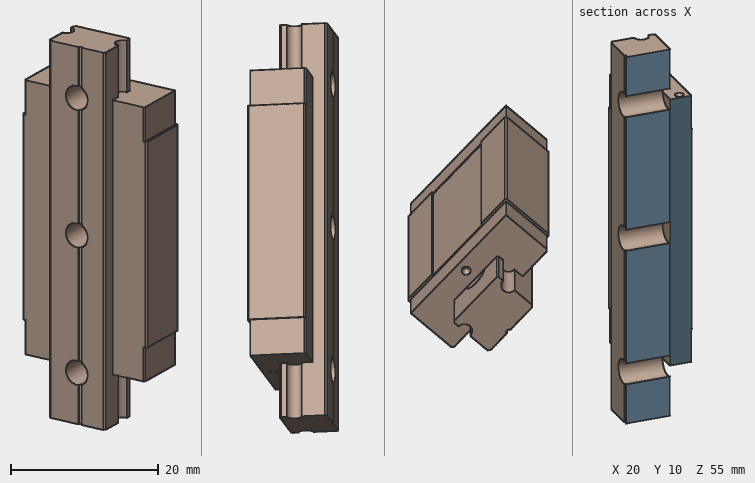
import cadquery as cq


guide_height = 10.0

rail_length = 55.0
rail_width = 9.0
rail_height = 6.55
base_chamfer = 0.3
crown_chamfer = 0.2
raceway_radius = 1.05
raceway_y = 4.5
mark_groove_width = 0.55
mark_groove_depth = 0.2
mark_groove_x = 0.55
bolt_hole_diameter = 3.5
bolt_hole_pitch = 20.0
bolt_hole_count = 3

carriage_width = 20.0
carriage_length = 40.0
carriage_bottom_y = 2.0
steel_length = 30.0
carriage_chamfer = 0.2
recess_width = 10.0
recess_depth = 0.2
cap_inset = 0.35
oil_port_diameter = 1.2
oil_port_depth = oil_port_diameter / 2
oil_port_y = 8.25


def rail_blank():
    """Rail bar with a half-round raceway along each side and chamfered long edges."""
    half = rail_width / 2
    raceway_bottom = raceway_y - raceway_radius
    raceway_top = raceway_y + raceway_radius
    return (
        cq.Workplane("XY")
        .moveTo(-half + base_chamfer, 0)
        .lineTo(half - base_chamfer, 0)
        .lineTo(half, base_chamfer)
        .lineTo(half, raceway_bottom)
        .threePointArc((half - raceway_radius, raceway_y), (half, raceway_top))
        .lineTo(half, rail_height - crown_chamfer)
        .lineTo(half - crown_chamfer, rail_height)
        .lineTo(-half + crown_chamfer, rail_height)
        .lineTo(-half, rail_height - crown_chamfer)
        .lineTo(-half, raceway_top)
        .threePointArc((-half + raceway_radius, raceway_y), (-half, raceway_bottom))
        .lineTo(-half, base_chamfer)
        .close()
        .extrude(rail_length / 2, both=True)
    )


def make_rail():
    """Rail with the marking groove in its base and a row of bolt holes."""
    mark_groove = (
        cq.Workplane("XY")
        .box(mark_groove_width, 2 * mark_groove_depth, rail_length)
        .translate((mark_groove_x, 0, 0))
    )
    bolt_holes = (
        cq.Workplane("XZ")
        .rarray(0.55, bolt_hole_pitch, 1, bolt_hole_count)
        .circle(bolt_hole_diameter / 2)
        .extrude(-rail_height)
    )
    return rail_blank().cut(mark_groove).cut(bolt_holes)


def carriage_bar(width, top_y, length):
    """Plain bar from the underside of the carriage up to top_y, centred on the rail."""
    height = top_y - carriage_bottom_y
    return (
        cq.Workplane("XY")
        .box(width, height, length)
        .translate((0, carriage_bottom_y + height / 2, 0))
    )


def steel_block():
    """Middle of the carriage: all long edges chamfered, with a shallow recess in the top."""
    block = carriage_bar(carriage_width, guide_height, steel_length)
    block = block.edges("|Z").chamfer(carriage_chamfer)
    recess = (
        cq.Workplane("XY")
        .box(recess_width, 2 * recess_depth, steel_length)
        .translate((0, guide_height, 0))
    )
    return block.cut(recess)


def end_caps():
    """Both end caps as one full-length bar, inset from the steel, with chamfered lower edges."""
    bar = carriage_bar(
        carriage_width - 2 * cap_inset, guide_height - cap_inset, carriage_length
    )
    return bar.edges("|Z").edges("<Y").chamfer(carriage_chamfer)


def oil_port(end):
    """Conical oil port in an end cap; end is +1 for the upper cap and -1 for the lower."""
    cone = cq.Solid.makeCone(
        oil_port_diameter / 2,
        0,
        oil_port_depth,
        pnt=cq.Vector(0, oil_port_y, end * carriage_length / 2),
        dir=cq.Vector(0, 0, -end),
    )
    return cq.Workplane(obj=cone)


def make_carriage():
    """Steel block with narrower end caps, fitted closely around the rail."""
    carriage = steel_block().union(end_caps()).cut(rail_blank())
    for end in (1, -1):
        carriage = carriage.cut(oil_port(end))
    return carriage


rail = make_rail()
carriage = make_carriage()

result = cq.Compound.makeCompound([rail.val(), carriage.val()])